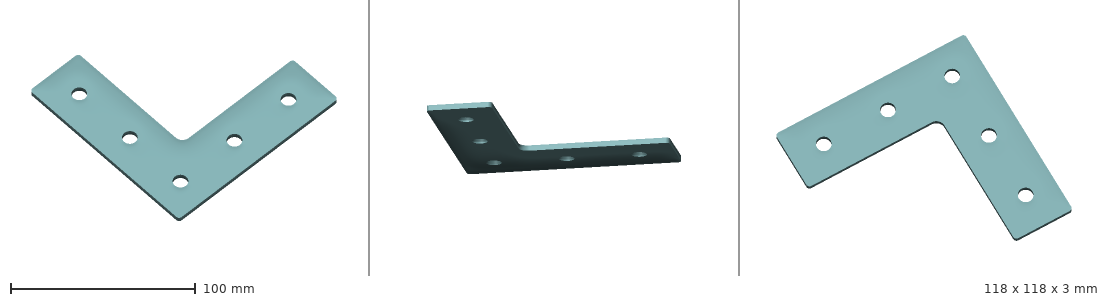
import cadquery as cq

leg_length = 118.0
leg_width = 36.0
thickness = 3.0
outer_corner_radius = 2.0
inner_corner_radius = 5.0

hole_diameter = 8.5
hole_pitch = 40.0
holes_per_leg = 3

half_length = leg_length / 2
inner_x = half_length - leg_width
inner_y = -half_length + leg_width
corner_hole_x = half_length - leg_width / 2
corner_hole_y = -half_length + leg_width / 2


def plate_blank():
    """L-shaped plate with rounded vertical edges."""
    outline = [
        (-half_length, -half_length),
        (half_length, -half_length),
        (half_length, half_length),
        (inner_x, half_length),
        (inner_x, inner_y),
        (-half_length, inner_y),
    ]
    plate = cq.Workplane("XY").polyline(outline).close().extrude(thickness)
    inner_edge = cq.selectors.NearestToPointSelector((inner_x, inner_y, thickness / 2))
    outer_edges = cq.selectors.SubtractSelector(cq.selectors.StringSyntaxSelector("|Z"), inner_edge)
    plate = plate.edges(outer_edges).fillet(outer_corner_radius)
    return plate.edges("|Z").edges(inner_edge).fillet(inner_corner_radius)


def hole_centres():
    """One shared hole at the corner, the rest stepping out along each leg."""
    centres = [(corner_hole_x, corner_hole_y)]
    for step in range(1, holes_per_leg):
        offset = step * hole_pitch
        centres.append((corner_hole_x - offset, corner_hole_y))
        centres.append((corner_hole_x, corner_hole_y + offset))
    return centres


def hole_cutters():
    """Cylinders that pierce the full thickness of the plate."""
    return cq.Workplane("XY").pushPoints(hole_centres()).circle(hole_diameter / 2).extrude(thickness)


result = plate_blank().cut(hole_cutters())